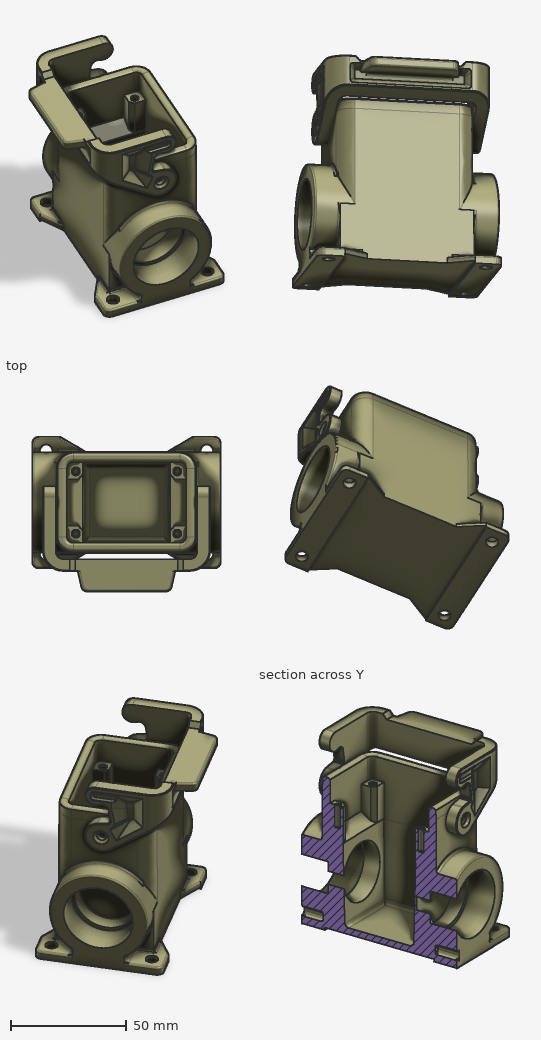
import cadquery as cq
import math

body_bottom_z = 1.2
body_top_z = 73.7
body_half_x = 30.4
body_half_y = 22.0
body_corner_radius = 7.2
body_draft = 0.2
rim_band_z = 68.7
rim_band_draft = 3.0
rim_width = 4.1
rim_crown = 0.9
skirt_half_x = 29.7

overall_x = 82.0
end_x = overall_x / 2
collar_z = 25.6
collar_radius = 21.9
collar_edge_radius = 0.7
collar_root_radius = 1.0
flare_overlap = 0.5
bore_radius = 15.5
bore_end_x = 27.1
inner_bore_radius = 13.9
blind_bore_end_x = 20.0
neck_half_y = 11.6
neck_top_z = 8.1
neck_root_radius = 1.7

foot_half_y = 28.6
foot_height = 3.9
foot_inner_x = 28.9
foot_corner_radius = 3.0
foot_edge_radius = 0.9
gusset_inner_x = 17.7
foot_root_radius = 1.2
foot_hole_x = 34.9
foot_hole_y = 22.5
foot_hole_radius = 2.7

well_top_half_x = 19.0
well_bottom_half_x = 18.0
well_bottom_half_y = 16.6
shoulder_low_z = 44.2
shoulder_high_z = 48.7
floor_z = 4.5
floor_radius = 1.9

post_top_z = 61.6
post_inner_x = 18.9
post_inner_y = 10.2
post_chamfer = 2.0
screw_x = 22.0
screw_y = 13.5
screw_radius = 1.3
screw_chamfer = 0.5
screw_depth = 10.8

height = 90.2
lever_half_x = 36.35
lever_thickness = 5.7
lever_front_thickness = 5.1
lever_front_y = -29.8
lever_front_low_z = 76.85
lever_corner_radius = 9.0
lever_edge_radius = 0.4
pivot_z = 64.7
pivot_radius = 7.1
hook_y = 2.5
hook_radius = 4.6
eye_end_degrees = 75
hook_end_degrees = -115
throat_foot = (-3.8, 72.4)
throat_low = (-4.3, 73.2)
throat_high = (-3.4, 78.65)
throat_bend = (-2.7, 80.7)
throat_end = (-0.7, 81.7)
pin_radius = 3.1
pin_embed = 0.9
pin_hole_radius = 2.2
pin_hole_depth = 3.6
pin_hole_chamfer = 1.3

tab_tip_y = -38.7
tab_top_z = 87.9
tab_thickness = 4.3
tab_root_half_x = 22.4
tab_tip_half_x = 19.2
tab_corner_radius = 2.7
tab_edge_radius = 0.9
tab_root_radius = 1.35
notch_top_half_x = 24.6

front_recess_half_x = 26.8
front_recess_low_z = 78.1
front_recess_high_z = 86.95
front_recess_depth = 2.7
front_recess_slope = 2.4
front_recess_corner = 1.35
front_recess_floor_corner = 0.4

arm_recess_depth = 3.6
arm_recess_rim = [
    (-4.3, 87.9), (-18.8, 87.9), (-18.8, 72.9), (-6.95, 64.0), (-4.15, 69.3), (-6.3, 72.6), (-4.7, 80.7)]
arm_recess_floor = [
    (-10.4, 82.8), (-13.8, 82.8), (-13.8, 74.2), (-12.0, 72.9), (-11.1, 72.9), (-11.4, 74.2), (-10.8, 79.4)]
hook_recess_depth = 1.35
hook_recess_half_height = 2.2
hook_recess_slope = 0.9
hook_recess_corner = 1.7
hook_recess_inner_y = -8.1

body_shrink = (rim_band_z - body_bottom_z) * math.tan(math.radians(body_draft))
rim_half_x = body_half_x - body_shrink
rim_half_y = body_half_y - body_shrink
rim_base_z = body_top_z - rim_crown
rim_shrink = (rim_base_z - rim_band_z) * math.tan(math.radians(rim_band_draft))
rim_top_half_x = rim_half_x - rim_shrink
rim_top_half_y = rim_half_y - rim_shrink
rim_top_corner_radius = body_corner_radius - body_shrink - rim_shrink
opening_half_x = rim_top_half_x - rim_width
opening_half_y = rim_top_half_y - rim_width
opening_corner_radius = rim_top_corner_radius - rim_width


def box(x_range, y_range, z_range):
    """Axis-aligned box given by its limits along X, Y and Z."""
    size = [high - low for low, high in (x_range, y_range, z_range)]
    origin = (x_range[0], y_range[0], z_range[0])
    return cq.Workplane("XY").box(*size, centered=False).translate(origin)


def x_cylinder(radius, start_x, stop_x, z):
    """Cylinder along X between two X positions."""
    return cq.Workplane("YZ", origin=(start_x, 0, 0)).center(0, z).circle(radius).extrude(stop_x - start_x)


def both_x(shape):
    """A shape together with its mirror image in the YZ plane."""
    return shape.union(shape.mirror("YZ"))


def four_corners(shape):
    """A shape repeated by mirroring in the YZ and XZ planes."""
    pair = both_x(shape)
    return pair.union(pair.mirror("XZ"))


def rounded_rect(half_x, half_y, corner_radius):
    """Sketch of a centred rectangle with rounded corners."""
    return cq.Sketch().rect(2 * half_x, 2 * half_y).vertices().fillet(corner_radius)


def countersunk_hole(plane, radius, depth, chamfer):
    """Blind hole going down from a work plane, with a 45 degree countersink."""
    hole = plane.circle(radius).extrude(-depth)
    return hole.union(plane.circle(radius + chamfer).extrude(-chamfer, taper=45))


def make_fillet_strip(plane, wall, base, radius, length):
    """Concave fillet between a wall and a base, extruded along the plane's normal."""
    to_arc_middle = radius * (1 - math.sqrt(0.5))
    return (
        plane.moveTo(wall, base)
        .lineTo(wall + radius, base)
        .threePointArc((wall + to_arc_middle, base + to_arc_middle), (wall, base + radius))
        .close()
        .extrude(length)
    )


def make_rim_crown():
    """Domed crown swept around the top of the tower wall."""
    middle_half_x = rim_top_half_x - rim_width / 2
    middle_half_y = rim_top_half_y - rim_width / 2
    middle_radius = rim_top_corner_radius - rim_width / 2
    arc_x = middle_half_x - middle_radius
    arc_y = middle_half_y - middle_radius
    half_path = (
        cq.Workplane("XY", origin=(0, 0, rim_base_z))
        .moveTo(0, middle_half_y)
        .lineTo(arc_x, middle_half_y)
        .radiusArc((middle_half_x, arc_y), middle_radius)
        .lineTo(middle_half_x, -arc_y)
        .radiusArc((arc_x, -middle_half_y), middle_radius)
        .lineTo(0, -middle_half_y)
    )
    half_crown = (
        cq.Workplane("YZ")
        .moveTo(opening_half_y, rim_base_z)
        .threePointArc((middle_half_y, body_top_z), (rim_top_half_y, rim_base_z))
        .close()
        .sweep(half_path)
    )
    return both_x(half_crown)


def make_tower():
    walls = (
        cq.Workplane("XY", origin=(0, 0, body_bottom_z))
        .placeSketch(rounded_rect(body_half_x, body_half_y, body_corner_radius))
        .extrude(rim_band_z - body_bottom_z, taper=body_draft)
    )
    walls = walls.cut(box((-end_x, end_x), (-end_x, end_x), (0, collar_z)))
    rim_band = (
        cq.Workplane("XY", origin=(0, 0, rim_band_z))
        .placeSketch(rounded_rect(rim_half_x, rim_half_y, body_corner_radius - body_shrink))
        .extrude(rim_base_z - rim_band_z, taper=rim_band_draft)
    )
    skirt = (
        cq.Workplane("XY", origin=(0, 0, body_bottom_z))
        .rect(2 * skirt_half_x, 2 * body_half_y)
        .extrude(collar_z - body_bottom_z, taper=body_draft)
    )
    return walls.union(rim_band).union(make_rim_crown()).union(skirt)


def make_collar_flare(root_x):
    """Concave ring where the collar meets a flat wall at root_x, centred on the collar axis."""
    rim_radius = collar_radius + collar_root_radius
    to_arc_middle = collar_root_radius * (1 - math.sqrt(0.5))
    return (
        cq.Workplane("XY")
        .moveTo(root_x - flare_overlap, 0)
        .lineTo(root_x - flare_overlap, rim_radius)
        .lineTo(root_x, rim_radius)
        .threePointArc(
            (root_x + to_arc_middle, collar_radius + to_arc_middle),
            (root_x + collar_root_radius, collar_radius))
        .lineTo(root_x + collar_root_radius, 0)
        .close()
        .revolve(360, (0, 0, 0), (1, 0, 0))
        .translate((0, 0, collar_z))
    )


def make_collar():
    """Round collar flared into the tower's end wall, on a neck that joins it to the foot."""
    collar = x_cylinder(collar_radius, 0, end_x, collar_z)
    collar = collar.faces(">X").edges().fillet(collar_edge_radius)
    wall_x = body_half_x - body_shrink / 2
    corner_run = math.sqrt(body_corner_radius**2 - (body_corner_radius - flare_overlap) ** 2)
    flare_half_y = body_half_y - body_corner_radius + corner_run
    upper_flare = make_collar_flare(wall_x).intersect(
        box((0, end_x), (-flare_half_y, flare_half_y), (collar_z, body_top_z)))
    lower_flare = make_collar_flare(skirt_half_x).intersect(
        box((0, end_x), (-collar_radius, collar_radius), (0, collar_z)))
    neck = box((0, end_x), (-neck_half_y, neck_half_y), (body_bottom_z, neck_top_z))
    return both_x(collar.union(upper_flare).union(lower_flare).union(neck))


def make_feet():
    foot = (
        cq.Workplane("XY")
        .polyline([
            (gusset_inner_x, body_half_y), (foot_inner_x, foot_half_y), (end_x, foot_half_y),
            (end_x, -foot_half_y), (foot_inner_x, -foot_half_y), (gusset_inner_x, -body_half_y)])
        .close()
        .extrude(foot_height)
        .edges("|Z and >X").fillet(foot_corner_radius)
        .faces(">Z").edges().fillet(foot_edge_radius)
    )
    foot = foot.cut(box((0, foot_inner_x), (-foot_half_y, foot_half_y), (0, body_bottom_z)))
    front_start_x = gusset_inner_x + 2 * foot_root_radius
    front_strip = make_fillet_strip(
        cq.Workplane("YZ", origin=(front_start_x, 0, 0)),
        body_half_y, foot_height, foot_root_radius, skirt_half_x - front_start_x)
    end_strip = make_fillet_strip(
        cq.Workplane("XZ", origin=(0, body_half_y, 0)),
        skirt_half_x, foot_height, foot_root_radius, body_half_y - neck_half_y)
    neck_strip = make_fillet_strip(
        cq.Workplane("YZ", origin=(skirt_half_x, 0, 0)),
        neck_half_y, foot_height, neck_root_radius, end_x - skirt_half_x)
    strips = front_strip.union(end_strip).union(neck_strip)
    return both_x(foot).union(four_corners(strips))


def make_foot_holes():
    hole = cq.Workplane("XY").center(foot_hole_x, foot_hole_y).circle(foot_hole_radius)
    return four_corners(hole.extrude(foot_height + foot_root_radius))


def make_bores():
    outer = x_cylinder(bore_radius, bore_end_x, end_x, collar_z)
    blind = x_cylinder(inner_bore_radius, -bore_end_x, -blind_bore_end_x, collar_z)
    open_side = x_cylinder(inner_bore_radius, 0, bore_end_x, collar_z)
    return both_x(outer).union(blind).union(open_side)


def make_cavity():
    """Opening with inward sloping shoulders that lead down into a narrower well."""
    shoulders = (
        cq.Workplane("XZ", origin=(0, opening_half_y, 0))
        .polyline([
            (-opening_half_x, body_top_z), (-opening_half_x, shoulder_high_z),
            (-well_top_half_x, shoulder_low_z), (well_top_half_x, shoulder_low_z),
            (opening_half_x, shoulder_high_z), (opening_half_x, body_top_z)])
        .close()
        .extrude(2 * opening_half_y)
        .edges("|Z").fillet(opening_corner_radius)
    )
    well = (
        cq.Workplane("XY", origin=(0, 0, floor_z))
        .rect(2 * well_bottom_half_x, 2 * well_bottom_half_y)
        .workplane(offset=shoulder_low_z - floor_z)
        .rect(2 * well_top_half_x, 2 * opening_half_y)
        .loft(combine=True)
        .faces("<Z").edges().fillet(floor_radius)
    )
    post = (
        box((post_inner_x, opening_half_x), (post_inner_y, opening_half_y), (shoulder_low_z, post_top_z))
        .edges("|Z and <X and <Y").chamfer(post_chamfer)
    )
    screw_plane = cq.Workplane("XY", origin=(screw_x, screw_y, post_top_z))
    screw_hole = countersunk_hole(screw_plane, screw_radius, screw_depth, screw_chamfer)
    return shoulders.union(well).cut(four_corners(post)).union(four_corners(screw_hole))


def make_lever_profile():
    """Side outline of the lever in (y, z), extruded over its full width."""
    reach_y = lever_front_y
    reach_z = lever_front_low_z - pivot_z
    reach = math.hypot(reach_y, reach_z)
    tangent_angle = math.atan2(reach_z, reach_y) + math.acos(pivot_radius / reach)
    tangent = (pivot_radius * math.cos(tangent_angle), pivot_z + pivot_radius * math.sin(tangent_angle))
    hook_z = height - hook_radius
    eye_end_angle = math.radians(eye_end_degrees)
    eye_end = (pivot_radius * math.cos(eye_end_angle), pivot_z + pivot_radius * math.sin(eye_end_angle))
    hook_end_angle = math.radians(hook_end_degrees)
    hook_end = (
        hook_y + hook_radius * math.cos(hook_end_angle),
        hook_z + hook_radius * math.sin(hook_end_angle))
    return (
        cq.Workplane("YZ", origin=(-lever_half_x, 0, 0))
        .moveTo(lever_front_y, height)
        .lineTo(lever_front_y, lever_front_low_z)
        .lineTo(*tangent)
        .threePointArc((pivot_radius, pivot_z), eye_end)
        .lineTo(*throat_foot)
        .lineTo(*throat_low)
        .lineTo(*throat_high)
        .threePointArc(throat_bend, throat_end)
        .lineTo(*hook_end)
        .threePointArc((hook_y + hook_radius, hook_z), (hook_y, height))
        .close()
        .extrude(2 * lever_half_x)
    )


def u_block(half_x, front_y, corner_radius):
    """Block open towards +Y with both front corners rounded."""
    block = box((-half_x, half_x), (front_y, pivot_radius), (0, height))
    return block.edges("|Z and <Y").fillet(corner_radius)


def make_arm_recess():
    """Recess in the outer face of the -X arm: sloped pocket with a shallow finger into the hook."""
    pocket = (
        cq.Workplane("YZ", origin=(-lever_half_x, 0, 0))
        .polyline(arm_recess_rim).close()
        .workplane(offset=arm_recess_depth)
        .polyline(arm_recess_floor).close()
        .loft(ruled=True, combine=True)
    )
    finger_y = (hook_recess_inner_y, hook_y + hook_recess_half_height)
    hook_z = height - hook_radius
    finger_z = (hook_z - hook_recess_half_height, hook_z + hook_recess_half_height)
    finger = (
        box((-lever_half_x, hook_recess_depth - lever_half_x), finger_y, finger_z)
        .edges("|X and >Y").fillet(hook_recess_corner)
        .faces(">X").edges().chamfer(hook_recess_slope)
    )
    return pocket.union(finger)


def make_front_recess():
    half_x = front_recess_half_x
    half_z = (front_recess_high_z - front_recess_low_z) / 2
    rim = rounded_rect(half_x, half_z, front_recess_corner)
    floor = rounded_rect(
        half_x - front_recess_slope, half_z - front_recess_slope, front_recess_floor_corner)
    return (
        cq.Workplane("XZ", origin=(0, lever_front_y, front_recess_low_z + half_z))
        .placeSketch(rim, floor.moved(cq.Location(cq.Vector(0, 0, -front_recess_depth))))
        .loft(combine=True)
    )


def make_tab(inner_y):
    tab = (
        cq.Workplane("XY", origin=(0, 0, tab_top_z))
        .polyline([
            (-tab_root_half_x, inner_y), (-tab_tip_half_x, tab_tip_y),
            (tab_tip_half_x, tab_tip_y), (tab_root_half_x, inner_y)])
        .close()
        .extrude(-tab_thickness)
    )
    tab = tab.edges("|Z and <Y").fillet(tab_corner_radius)
    return tab.faces(">Z or <Z").edges("not >Y").fillet(tab_edge_radius)


def make_tab_root_fillet():
    """Concave fillet under the tab, against the floor of the front recess."""
    recess_floor_y = lever_front_y + front_recess_depth
    strip = make_fillet_strip(
        cq.Workplane("YZ", origin=(-tab_tip_half_x, 0, 0)),
        -recess_floor_y, tab_thickness - tab_top_z, tab_root_radius, 2 * tab_tip_half_x)
    return strip.rotate((0, 0, 0), (1, 0, 0), 180)


def make_lever():
    inner_half_x = lever_half_x - lever_thickness
    inner_y = lever_front_y + lever_front_thickness
    outside = u_block(lever_half_x, lever_front_y, lever_corner_radius)
    inside = u_block(inner_half_x, inner_y, lever_corner_radius - lever_thickness)
    lever = make_lever_profile().intersect(outside).edges().chamfer(lever_edge_radius).cut(inside)
    notch = (
        cq.Workplane("XZ", origin=(0, inner_y, 0))
        .polyline([
            (-notch_top_half_x, height), (-tab_root_half_x, tab_top_z),
            (tab_root_half_x, tab_top_z), (notch_top_half_x, height)])
        .close()
        .extrude(inner_y - lever_front_y)
    )
    lever = lever.cut(notch).cut(make_front_recess()).cut(both_x(make_arm_recess()))
    lever = lever.union(make_tab(inner_y)).union(make_tab_root_fillet())
    pin = x_cylinder(pin_radius, body_half_x - pin_embed, lever_half_x - pin_embed, pivot_z)
    pin_plane = cq.Workplane("YZ", origin=(lever_half_x, 0, pivot_z))
    pin_hole = countersunk_hole(pin_plane, pin_hole_radius, pin_hole_depth, pin_hole_chamfer)
    return lever.union(both_x(pin)).cut(both_x(pin_hole))


housing = make_tower().union(make_collar()).union(make_feet())
housing = housing.cut(make_bores()).cut(make_cavity()).cut(make_foot_holes())
result = housing.union(make_lever())